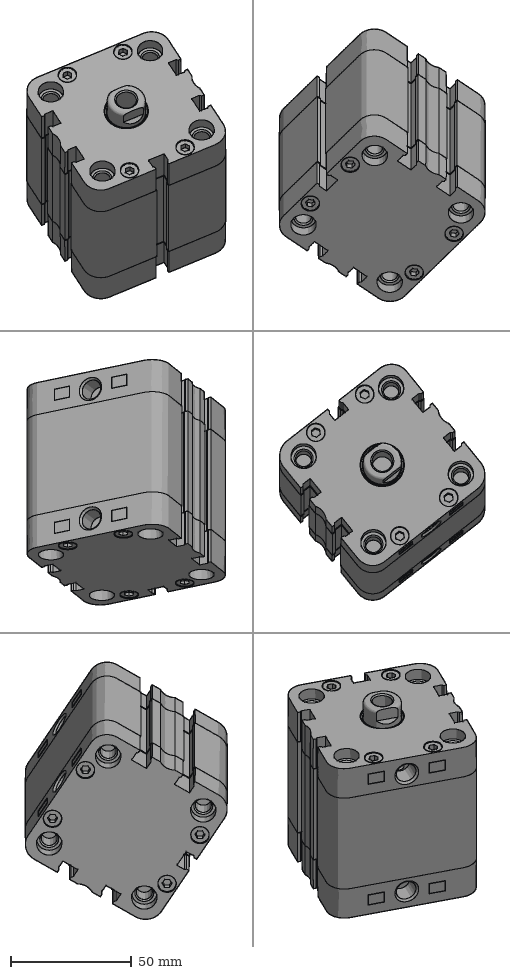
import cadquery as cq


body_width = 65.5
body_height = 75.0
corner_radius = 8.0
cap_height = 14.7
cap_taper = 0.5
half_width = body_width / 2
tube_height = body_height - 2 * cap_height

slot_offset = 10.5
slot_mouth_width = 5.35
slot_inner_width = 6.7
slot_lip = 1.65
slot_depth = 5.4
slot_shoulder = (slot_inner_width - slot_mouth_width) / 2
cap_slot_clearance = 0.3

groove_width = 7.0
groove_depth = 1.0

mount_offset = 23.25
mount_bore_diameter = 10.5
mount_bore_depth = 5.0
mount_thread_diameter = 6.65
mount_countersink_diameter = 7.9
mount_countersink_depth = (mount_countersink_diameter - mount_thread_diameter) / 2
mount_thread_depth = 8.0

screw_x = 28.0
screw_y = 13.0
screw_hole_diameter = 7.7
screw_head_diameter = 7.5
screw_head_sink = 0.4
screw_gap_depth = 1.0
screw_hex_flats = 3.5
screw_hex_depth = 3.0

port_height = 8.0
port_diameter = 8.57
port_mouth_diameter = 10.5
port_chamfer = (port_mouth_diameter - port_diameter) / 2
port_depth = 9.0
passage_diameter = 3.5
passage_offset = 2.0
passage_depth = 3.0

label_offset = 13.35
label_height = 7.2
label_width = 7.0
label_tall = 5.0
label_depth = 0.3

rod_diameter = 16.0
rod_projection = 8.0
rod_flats = 13.0
rod_flat_height = 2.65
rod_edge_radius = 1.6
rod_bore_diameter = 8.38
rod_bore_depth = 12.0
rod_countersink_diameter = 9.6
rod_countersink = (rod_countersink_diameter - rod_bore_diameter) / 2
seat_diameters = (18.4, 17.7, 16.54)
seat_chamfer = (seat_diameters[0] - seat_diameters[1]) / 2
seat_depth = 0.6
seat_gap_depth = 1.2


def body_outline(base_z):
    """Rounded square with a shallow groove in the +Y and -Y sides, on a plane at base_z."""
    radius = ((groove_width / 2) ** 2 + groove_depth**2) / (2 * groove_depth)
    groove_centre = half_width - groove_depth + radius
    outline = cq.Sketch().rect(body_width, body_width).vertices().fillet(corner_radius).reset()
    outline = outline.push([(0, groove_centre), (0, -groove_centre)]).circle(radius, mode="s").reset()
    return cq.Workplane().workplane(offset=base_z).placeSketch(outline)


def slot_cutter(height, clearance):
    """Undercut slot opening through the +Y face, centred on X = 0."""
    mouth = slot_mouth_width / 2 + clearance
    inner = slot_inner_width / 2 + clearance
    lip = half_width - slot_lip + clearance
    floor = half_width - slot_depth - clearance
    outside = half_width + slot_lip
    right_side = [(mouth, outside), (mouth, lip), (inner, lip - slot_shoulder), (inner, floor)]
    left_side = [(-x, y) for x, y in reversed(right_side)]
    return cq.Workplane().polyline(right_side + left_side).close().extrude(height)


def cut_slots(body, base_z, height, clearance):
    """Cut two slots in each of the +Y and -Y sides and one in the +X side."""
    slot = slot_cutter(height, clearance).translate((0, 0, base_z))
    axis_start, axis_end = (0, 0, 0), (0, 0, 1)
    for side_angle in (0, 180):
        for x in (-slot_offset, slot_offset):
            body = body.cut(slot.translate((x, 0, 0)).rotate(axis_start, axis_end, side_angle))
    return body.cut(slot.rotate(axis_start, axis_end, -90))


def drill(body, x, y, top_z, diameter, depth):
    """Cut a plain vertical hole downwards from top_z."""
    hole = cq.Workplane().workplane(offset=top_z - depth).center(x, y).circle(diameter / 2).extrude(depth)
    return body.cut(hole)


def cut_mounting_holes(cap):
    """Counterbored and countersunk thread holes in the four corners."""
    floor_z = body_height - mount_bore_depth
    countersink = cq.Solid.makeCone(
        mount_thread_diameter / 2,
        mount_countersink_diameter / 2,
        mount_countersink_depth,
        pnt=cq.Vector(0, 0, floor_z - mount_countersink_depth),
    )
    for x in (-mount_offset, mount_offset):
        for y in (-mount_offset, mount_offset):
            cap = drill(cap, x, y, body_height, mount_bore_diameter, mount_bore_depth)
            cap = cap.cut(cq.Workplane(countersink.translate(cq.Vector(x, y, 0))))
            cap = drill(cap, x, y, floor_z, mount_thread_diameter, mount_thread_depth)
    return cap


def cut_screws(cap):
    """Sunk head, ring gap and hexagon socket of the four cap screws."""
    centres = [(x, y) for x in (-screw_x, screw_x) for y in (-screw_y, screw_y)]
    top = cq.Workplane().workplane(offset=body_height).pushPoints(centres)
    gap = top.circle(screw_hole_diameter / 2).circle(screw_head_diameter / 2).extrude(-screw_gap_depth)
    sink = top.circle(screw_hole_diameter / 2).extrude(-screw_head_sink)
    socket_sketch = cq.Sketch().regularPolygon(screw_hex_flats / 3**0.5, 6)
    socket = top.placeSketch(socket_sketch).extrude(-screw_hex_depth)
    return cap.cut(sink).cut(gap).cut(socket)


def cut_port(cap):
    """Chamfered threaded port in the -X face."""
    port_z = body_height - port_height
    face = cq.Vector(-half_width, 0, port_z)
    inwards = cq.Vector(1, 0, 0)
    hole = cq.Solid.makeCylinder(port_diameter / 2, port_depth, face, inwards)
    mouth = cq.Solid.makeCone(port_mouth_diameter / 2, port_diameter / 2, port_chamfer, face, inwards)
    return cap.cut(cq.Workplane(hole)).cut(cq.Workplane(mouth))


def cut_passage(cap):
    """Small air passage leading on from the floor of the port."""
    start = cq.Vector(-half_width + port_depth, 0, body_height - port_height - passage_offset)
    passage = cq.Solid.makeCylinder(passage_diameter / 2, passage_depth, start, cq.Vector(1, 0, 0))
    return cap.cut(cq.Workplane(passage))


def cut_labels(cap):
    """Shallow rectangular label recesses on both sides of the port."""
    label = cq.Workplane().box(2 * label_depth, label_width, label_tall)
    for y in (-label_offset, label_offset):
        cap = cap.cut(label.translate((-half_width, y, body_height - label_height)))
    return cap


def make_cap():
    """Features common to both caps, built in the place of the upper cap."""
    base_z = body_height - cap_height
    cap = body_outline(base_z).extrude(cap_height, taper=cap_taper)
    cap = cut_slots(cap, base_z, cap_height, cap_slot_clearance)
    cap = cut_mounting_holes(cap)
    cap = cut_screws(cap)
    cap = cut_port(cap)
    return cut_labels(cap)


def make_upper_cap():
    """Cap with the rod hole, its stepped seal seat and the air passage."""
    cap = cut_passage(make_cap())
    top_diameter, seat_diameter, gap_diameter = seat_diameters
    mouth = cq.Solid.makeCone(
        seat_diameter / 2,
        top_diameter / 2,
        seat_chamfer,
        pnt=cq.Vector(0, 0, body_height - seat_chamfer),
    )
    cap = cap.cut(cq.Workplane(mouth))
    cap = drill(cap, 0, 0, body_height, seat_diameter, seat_depth)
    cap = drill(cap, 0, 0, body_height, gap_diameter, seat_gap_depth)
    return drill(cap, 0, 0, body_height, rod_diameter, cap_height)


def make_lower_cap():
    """The common cap turned over end for end, so that the ports stay on the -X side."""
    middle = (0, 0, body_height / 2)
    return make_cap().rotate(middle, (1, 0, body_height / 2), 180)


def make_tube():
    """Profiled tube between the caps."""
    tube = body_outline(cap_height).extrude(tube_height)
    return cut_slots(tube, cap_height, tube_height, 0)


def make_rod():
    """Rod with a rounded end, two wrench flats and a countersunk threaded bore."""
    base_z = body_height - cap_height
    top_z = body_height + rod_projection
    rod = cq.Workplane().workplane(offset=base_z).circle(rod_diameter / 2).extrude(top_z - base_z)
    rod = rod.faces(">Z").edges().fillet(rod_edge_radius)
    flat_x = rod_flats / 2
    flat_z = body_height + rod_flat_height
    outside_x = rod_diameter / 2
    slope_z = flat_z - (outside_x - flat_x)
    for side in (-1, 1):
        flat_profile = [
            (side * flat_x, top_z),
            (side * flat_x, flat_z),
            (side * outside_x, slope_z),
            (side * outside_x, top_z),
        ]
        flat = cq.Workplane("XZ").polyline(flat_profile).close().extrude(rod_diameter / 2, both=True)
        rod = rod.cut(flat)
    countersink = cq.Solid.makeCone(
        rod_bore_diameter / 2,
        rod_countersink_diameter / 2,
        rod_countersink,
        pnt=cq.Vector(0, 0, top_z - rod_countersink),
    )
    rod = drill(rod, 0, 0, top_z, rod_bore_diameter, rod_bore_depth)
    return rod.cut(cq.Workplane(countersink))


lower_cap = make_lower_cap()
tube = make_tube()
upper_cap = make_upper_cap()
rod = make_rod()

result = cq.Compound.makeCompound([lower_cap.val(), tube.val(), upper_cap.val(), rod.val()])